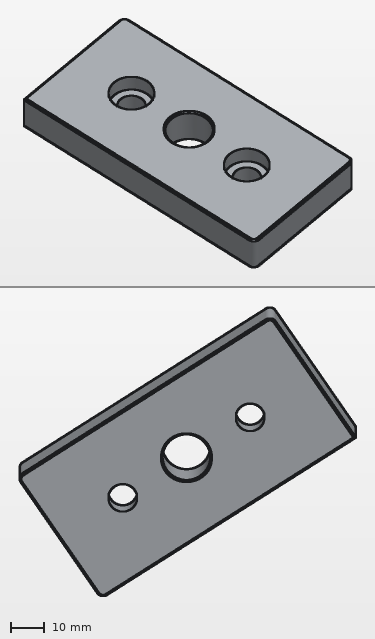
import cadquery as cq

length = 90.0
width = length / 2
thickness = 12.0
corner_radius = 2.0
edge_chamfer = 0.5

bore_diameter = 14.0
bore_chamfer = 0.5

screw_spacing = length / 2
screw_diameter = 8.5
counterbore_diameter = 13.5
counterbore_depth = 5.4


def make_plate():
    """Plate with one square corner at -X -Y, three rounded corners and broken face edges."""
    plate = cq.Workplane("XY").box(length, width, thickness, centered=(True, True, False))
    plate = plate.edges("|Z and (>X or >Y)").fillet(corner_radius)
    return plate.faces("<Z or >Z").chamfer(edge_chamfer)


def cut_bore(body):
    body = body.faces(">Z").workplane(origin=(0, 0, 0)).hole(bore_diameter)
    bore_rims = cq.selectors.RadiusNthSelector(-1)
    return body.edges("%CIRCLE").edges(bore_rims).chamfer(bore_chamfer)


def cut_screw_holes(body):
    centres = [(-screw_spacing / 2, 0), (screw_spacing / 2, 0)]
    top = body.faces(">Z").workplane(origin=(0, 0, 0))
    return top.pushPoints(centres).cboreHole(screw_diameter, counterbore_diameter, counterbore_depth)


result = cut_screw_holes(cut_bore(make_plate()))